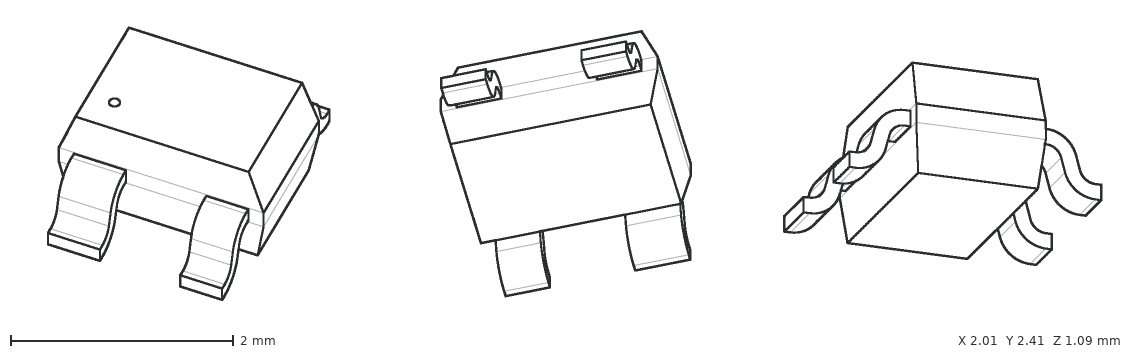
import cadquery as cq
import math

total_span = 2.41
height = 1.09

body_length = 2.01
body_width = 1.239
top_length = 1.701
top_width = 1.2
bottom_length = 1.855
bottom_width = 1.147
band_height = 0.183
band_bottom = (height - band_height) / 2
band_top = band_bottom + band_height

lead_thickness = 0.15
lead_width = 0.412
wide_lead_width = 0.51
lead_outer_edge = 0.855
inner_bend_radius = 0.15
bend_angle = math.radians(75)
bend_radius = inner_bend_radius + lead_thickness / 2

mark_diameter = 0.1
mark_depth = 0.025
mark_x = -0.598
mark_y = -0.3


def tapered_block(z_start, start_size, z_end, end_size):
    """Block that changes evenly from one rectangle to another."""
    return (
        cq.Workplane("XY")
        .workplane(offset=z_start)
        .rect(*start_size)
        .workplane(offset=z_end - z_start)
        .rect(*end_size)
        .loft(ruled=True, combine=True)
    )


def make_mark():
    return (
        cq.Workplane("XY", origin=(mark_x, mark_y, height - mark_depth))
        .circle(mark_diameter / 2)
        .extrude(mark_depth)
    )


def make_housing():
    band_size = (body_length, body_width)
    lower = tapered_block(0, (bottom_length, bottom_width), band_bottom, band_size)
    band = (
        cq.Workplane("XY", origin=(0, 0, band_bottom))
        .rect(*band_size)
        .extrude(band_height)
    )
    upper = tapered_block(band_top, band_size, height, (top_length, top_width))
    return lower.union(band).union(upper).cut(make_mark())


def make_lead(x_min, width, side):
    """Lead from the housing wall down to the foot; side is -1 for -Y and +1 for +Y."""
    wall = body_width / 2
    tip = total_span / 2
    shoulder_z = height / 2
    foot_z = lead_thickness / 2

    bend_drop = bend_radius * (1 - math.cos(bend_angle))
    leg_drop = shoulder_z - foot_z - 2 * bend_drop
    reach = 2 * bend_radius * math.sin(bend_angle) + leg_drop / math.tan(bend_angle)
    flat_length = (tip - wall - reach) / 2
    shoulder_y = wall + flat_length
    foot_y = tip - flat_length

    def upper_bend(radius, angle):
        y = shoulder_y + radius * math.sin(angle)
        z = shoulder_z - bend_radius + radius * math.cos(angle)
        return (side * y, z)

    def lower_bend(radius, angle):
        y = foot_y - radius * math.sin(angle)
        z = foot_z + bend_radius - radius * math.cos(angle)
        return (side * y, z)

    outer_radius = inner_bend_radius + lead_thickness
    half_angle = bend_angle / 2
    return (
        cq.Workplane("YZ", origin=(x_min, 0, 0))
        .moveTo(side * wall, shoulder_z + lead_thickness / 2)
        .lineTo(*upper_bend(outer_radius, 0))
        .threePointArc(upper_bend(outer_radius, half_angle), upper_bend(outer_radius, bend_angle))
        .lineTo(*lower_bend(inner_bend_radius, bend_angle))
        .threePointArc(lower_bend(inner_bend_radius, half_angle), lower_bend(inner_bend_radius, 0))
        .lineTo(side * tip, lead_thickness)
        .lineTo(side * tip, 0)
        .lineTo(*lower_bend(outer_radius, 0))
        .threePointArc(lower_bend(outer_radius, half_angle), lower_bend(outer_radius, bend_angle))
        .lineTo(*upper_bend(inner_bend_radius, bend_angle))
        .threePointArc(upper_bend(inner_bend_radius, half_angle), upper_bend(inner_bend_radius, 0))
        .lineTo(side * wall, shoulder_z - lead_thickness / 2)
        .close()
        .extrude(width)
    )


housing = make_housing()
mark = make_mark()

right_lead_x = lead_outer_edge - lead_width
lead_layout = [
    (-lead_outer_edge, wide_lead_width, -1),
    (right_lead_x, lead_width, -1),
    (-lead_outer_edge, lead_width, 1),
    (right_lead_x, lead_width, 1),
]
leads = [make_lead(x_min, width, side) for x_min, width, side in lead_layout]

result = cq.Compound.makeCompound([housing.val(), mark.val(), *[lead.val() for lead in leads]])